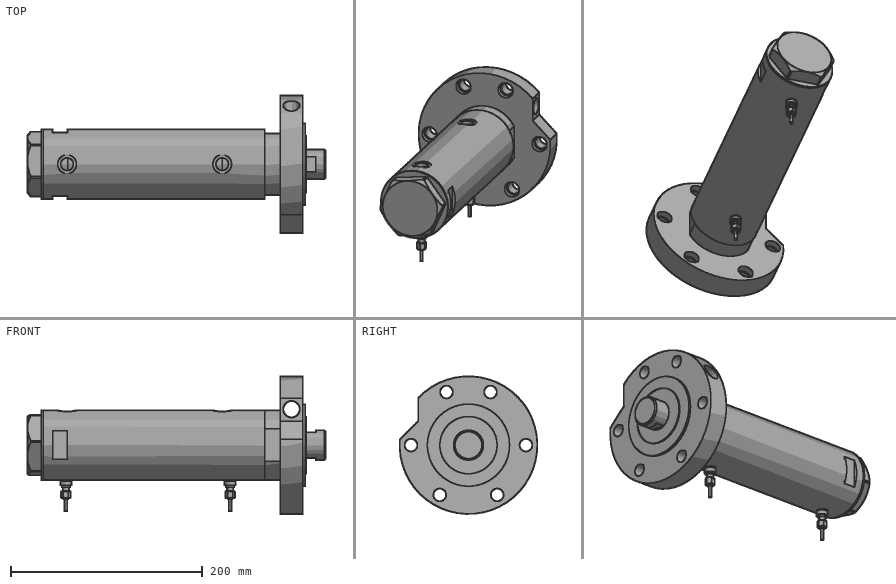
import cadquery as cq
import math


hex_length = 14.4
collar_length = 2.0
barrel_start = hex_length + collar_length
barrel_end = 248.0
neck_length = 16.0
flange_start = barrel_end + neck_length
flange_thickness = 23.7
flange_end = flange_start + flange_thickness
rod_end = 311.52

barrel_radius = 36.5
bore_radius = 30.0
rear_bore_radius = 24.0
rear_bore_end = 55.0
rear_port_x = 41.5
front_port_x = 203.5
port_diameter = 13.2
port_spotface_diameter = 19.5
port_spotface_height = 35.3
wrench_flat_start = 26.5
wrench_flat_length = 15.2
wrench_flat_half_width = 33.3

plug_end = 42.4
hex_across_flats = 60.0
hex_corner_angle = 6.5
hex_corner_radius = 34.1
cap_face_radius = 29.8
cap_chamfer_length = 3.5

neck_across_flats = 64.6
flange_radius = 72.0
notch_face_y = -52.7
notch_corner_z = 25.0
cross_hole_diameter = 17.0
cross_hole_z = 37.5
bolt_circle_radius = 60.0
bolt_angles = (0, 67.5, 112.5, 180, 240, 300)
bolt_hole_diameter = 13.0
bolt_counterbore_diameter = 16.0
bolt_counterbore_depth = 7.0

cover_radius = 42.9
cover_thickness = 2.5
cover_lip_radius = 29.9
cover_lip_thickness = 1.2
cover_end = flange_end + cover_thickness + cover_lip_thickness

rod_radius = 15.6
rod_chamfer = 1.5
rod_across_flats = 27.0
rod_flat_length = 10.0

sensor_positions = (40.2, 211.7)
sensor_seat_z = -33.0
sensor_shank_radius = 5.8
sensor_collar_top = -37.6
sensor_collar_radius = 6.0
sensor_step_top = -42.0
sensor_step_radius = 4.4
sensor_neck_top = -44.0
sensor_neck_radius = 3.4
sensor_hex_top = -47.8
sensor_hex_bottom = -55.6
sensor_hex_across_flats = 9.0
sensor_hex_chamfer = 1.2
cable_sleeve_radius = 2.5
cable_sleeve_bottom = -56.6
cable_radius = 1.5
cable_end = -68.8


def x_cylinder(radius, start, end):
    """Cylinder on the main axis between two X stations."""
    return cq.Workplane("YZ", origin=(start, 0, 0)).circle(radius).extrude(end - start)


def z_cylinder(x, radius, top, bottom):
    """Vertical cylinder at a given X, from its top down to its bottom."""
    return cq.Workplane("XY", origin=(x, 0, bottom)).circle(radius).extrude(top - bottom)


def centered_box(start, end, size_y, size_z):
    """Box centred on the main axis between two X stations."""
    return cq.Workplane("YZ", origin=(start, 0, 0)).rect(size_y, size_z).extrude(end - start)


def make_barrel():
    barrel = x_cylinder(barrel_radius, barrel_start, barrel_end)
    flat_end = wrench_flat_start + wrench_flat_length
    flat_ring = x_cylinder(2 * barrel_radius, wrench_flat_start, flat_end)
    flat_core = centered_box(wrench_flat_start, flat_end, 2 * wrench_flat_half_width, 4 * barrel_radius)
    barrel = barrel.cut(flat_ring.cut(flat_core))
    barrel = barrel.cut(x_cylinder(rear_bore_radius, barrel_start, rear_bore_end))
    barrel = barrel.cut(x_cylinder(bore_radius, rear_bore_end, barrel_end))
    for x in (rear_port_x, front_port_x):
        barrel = barrel.cut(z_cylinder(x, port_spotface_diameter / 2, barrel_radius, port_spotface_height))
        barrel = barrel.cut(z_cylinder(x, port_diameter / 2, barrel_radius, 0))
    for x in sensor_positions:
        barrel = barrel.cut(z_cylinder(x, sensor_shank_radius, sensor_seat_z, -barrel_radius))
    return barrel


def make_cap():
    corner_diameter = hex_across_flats / math.cos(math.pi / 6)
    hexagon = cq.Workplane("YZ").polygon(6, corner_diameter).extrude(hex_length)
    hexagon = hexagon.rotate((0, 0, 0), (1, 0, 0), -hex_corner_angle)
    envelope = (
        cq.Workplane("XY")
        .moveTo(0, 0)
        .lineTo(0, cap_face_radius)
        .lineTo(cap_chamfer_length, hex_corner_radius)
        .lineTo(hex_length, hex_corner_radius)
        .lineTo(hex_length, 0)
        .close()
        .revolve(360, (0, 0, 0), (1, 0, 0))
    )
    collar = x_cylinder(barrel_radius, hex_length, barrel_start)
    plug = x_cylinder(rear_bore_radius, barrel_start, plug_end)
    return hexagon.intersect(envelope).union(collar).union(plug)


def make_flange():
    flange = x_cylinder(flange_radius, flange_start, flange_end)
    notch = (
        cq.Workplane("YZ", origin=(flange_start, 0, 0))
        .moveTo(notch_face_y, flange_radius)
        .lineTo(notch_face_y, notch_corner_z)
        .lineTo(notch_face_y - notch_corner_z, 0)
        .lineTo(notch_face_y - notch_corner_z, flange_radius)
        .close()
        .extrude(flange_thickness)
    )
    flange = flange.cut(notch)
    cross_hole = (
        cq.Workplane("XZ", origin=(flange_start + flange_thickness / 2, flange_radius, cross_hole_z))
        .circle(cross_hole_diameter / 2)
        .extrude(2 * flange_radius)
    )
    flange = flange.cut(cross_hole)
    for angle in bolt_angles:
        y = bolt_circle_radius * math.cos(math.radians(angle))
        z = bolt_circle_radius * math.sin(math.radians(angle))
        hole = x_cylinder(bolt_hole_diameter / 2, flange_start, flange_end)
        counterbore = x_cylinder(
            bolt_counterbore_diameter / 2, flange_start, flange_start + bolt_counterbore_depth
        )
        flange = flange.cut(hole.union(counterbore).translate((0, y, z)))
    return flange


def make_head():
    neck = x_cylinder(barrel_radius, barrel_end, flange_start)
    neck = neck.intersect(centered_box(barrel_end, flange_start, neck_across_flats, 2 * barrel_radius))
    gland = x_cylinder(bore_radius, front_port_x, barrel_end)
    head = make_flange().union(neck).union(gland)
    return head.cut(x_cylinder(rod_radius, front_port_x, flange_end))


def make_cover():
    disc = x_cylinder(cover_radius, flange_end, flange_end + cover_thickness)
    lip = x_cylinder(cover_lip_radius, flange_end + cover_thickness, cover_end)
    return disc.union(lip).cut(x_cylinder(rod_radius, flange_end, cover_end))


def make_rod():
    rod = x_cylinder(rod_radius, front_port_x, rod_end).faces(">X").chamfer(rod_chamfer)
    flat_end = cover_end + rod_flat_length
    flat_core = centered_box(cover_end, flat_end, 2 * rod_radius, rod_across_flats)
    rod = rod.cut(x_cylinder(rod_radius, cover_end, flat_end).cut(flat_core))
    spigot = x_cylinder(rear_bore_radius, plug_end, rear_bore_end)
    piston = x_cylinder(bore_radius, rear_bore_end, front_port_x)
    return rod.union(piston).union(spigot)


def make_sensor(x):
    shank = z_cylinder(x, sensor_shank_radius, sensor_seat_z, sensor_collar_top)
    collar = z_cylinder(x, sensor_collar_radius, sensor_collar_top, sensor_step_top)
    step = z_cylinder(x, sensor_step_radius, sensor_step_top, sensor_neck_top)
    neck = z_cylinder(x, sensor_neck_radius, sensor_neck_top, sensor_hex_top)
    corner_diameter = sensor_hex_across_flats / math.cos(math.pi / 6)
    hex_height = sensor_hex_top - sensor_hex_bottom
    hex_nut = (
        cq.Workplane("XY", origin=(x, 0, sensor_hex_bottom)).polygon(6, corner_diameter).extrude(hex_height)
    )
    nut_envelope = z_cylinder(x, corner_diameter / 2, sensor_hex_top, sensor_hex_bottom)
    hex_nut = hex_nut.intersect(nut_envelope.edges().chamfer(sensor_hex_chamfer))
    sleeve = z_cylinder(x, cable_sleeve_radius, sensor_hex_bottom, cable_sleeve_bottom)
    cable = z_cylinder(x, cable_radius, cable_sleeve_bottom, cable_end)
    sensor = shank
    for section in (collar, step, neck, hex_nut, sleeve, cable):
        sensor = sensor.union(section)
    return sensor


barrel = make_barrel()
cap = make_cap()
head = make_head()
cover = make_cover()
rod = make_rod()
sensors = [make_sensor(x) for x in sensor_positions]

result = cq.Compound.makeCompound(
    [barrel.val(), cap.val(), head.val(), cover.val(), rod.val(), *[sensor.val() for sensor in sensors]]
)